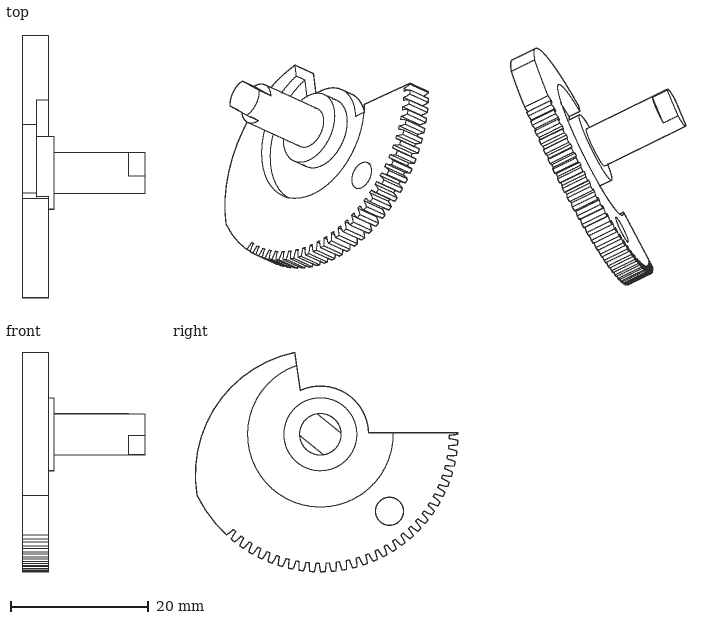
import cadquery as cq
import math


plate_thickness = 3.8
recess_floor_x = 2.05
boss_end_x = 4.6
shaft_end_x = 17.8

tip_radius = 19.98
rim_radius = 18.15
rim_centre_z = -5.87
hub_radius = 7.0
ledge_z = 0.23
peak_z = 11.9
notch_foot_y = -2.9

tooth_count_full_circle = 80
tooth_pitch_angle = 360 / tooth_count_full_circle
gap_count = 30
first_gap_angle = 1.2
root_radius = 18.72
flank_mid_radius = 19.45
gap_width_root = 0.45
gap_width_mid = 0.65
gap_width_tip = 0.9
gap_overrun = 0.2

recess_radius = 10.55
boss_radius = 5.3

shaft_radius = 3.0
flat_length = 2.4
flat_distance = 2.02
flat_normal_angle = 51

hole_radius = 2.02
hole_y = 10.03
hole_z = -11.17


def other_coordinate(radius, coordinate):
    """Size of the second coordinate of a point on a circle around the origin, given the first."""
    return math.sqrt(radius**2 - coordinate**2)


def disc(radius, start_x, end_x):
    """Cylinder on the shaft axis between two positions along X."""
    return cq.Workplane("YZ", origin=(start_x, 0, 0)).circle(radius).extrude(end_x - start_x)


def make_plate():
    """Sector plate before the teeth are cut."""
    rim_start_z = (tip_radius**2 - rim_radius**2 + rim_centre_z**2) / (2 * rim_centre_z)
    rim_start_y = -other_coordinate(tip_radius, rim_start_z)
    peak_y = -other_coordinate(rim_radius, peak_z - rim_centre_z)
    return (
        cq.Workplane("YZ")
        .moveTo(other_coordinate(tip_radius, ledge_z), ledge_z)
        .threePointArc((0, -tip_radius), (rim_start_y, rim_start_z))
        .threePointArc((-rim_radius, rim_centre_z), (peak_y, peak_z))
        .lineTo(notch_foot_y, other_coordinate(hub_radius, notch_foot_y))
        .threePointArc((0, hub_radius), (other_coordinate(hub_radius, ledge_z), ledge_z))
        .close()
        .extrude(plate_thickness)
    )


def make_tooth_gaps():
    """All the gaps between the teeth, each with two curved flanks."""
    cutter_radius = tip_radius + gap_overrun
    gap = (
        cq.Workplane("YZ")
        .moveTo(cutter_radius, gap_width_tip / 2)
        .lineTo(tip_radius, gap_width_tip / 2)
        .threePointArc((flank_mid_radius, gap_width_mid / 2), (root_radius, gap_width_root / 2))
        .lineTo(root_radius, -gap_width_root / 2)
        .threePointArc((flank_mid_radius, -gap_width_mid / 2), (tip_radius, -gap_width_tip / 2))
        .lineTo(cutter_radius, -gap_width_tip / 2)
        .close()
        .extrude(plate_thickness)
    )
    gaps = cq.Workplane("YZ")
    for index in range(gap_count):
        angle = first_gap_angle + index * tooth_pitch_angle
        gaps = gaps.add(gap.rotate((0, 0, 0), (1, 0, 0), -angle))
    return gaps.combine()


def make_shaft():
    """Round shaft, cut to two parallel flats over its last stretch."""
    shaft = disc(shaft_radius, recess_floor_x, shaft_end_x)
    flat_start_x = shaft_end_x - flat_length
    tang = (
        cq.Workplane("YZ", origin=(flat_start_x, 0, 0))
        .rect(2 * flat_distance, 2 * shaft_radius)
        .extrude(flat_length)
        .rotate((0, 0, 0), (1, 0, 0), flat_normal_angle)
    )
    flat_waste = disc(shaft_radius, flat_start_x, shaft_end_x).cut(tang)
    return shaft.cut(flat_waste)


pin_hole = cq.Workplane("YZ").center(hole_y, hole_z).circle(hole_radius).extrude(plate_thickness)

result = (
    make_plate()
    .cut(make_tooth_gaps())
    .cut(disc(recess_radius, recess_floor_x, plate_thickness))
    .cut(pin_hole)
    .union(disc(boss_radius, recess_floor_x, boss_end_x))
    .union(make_shaft())
)